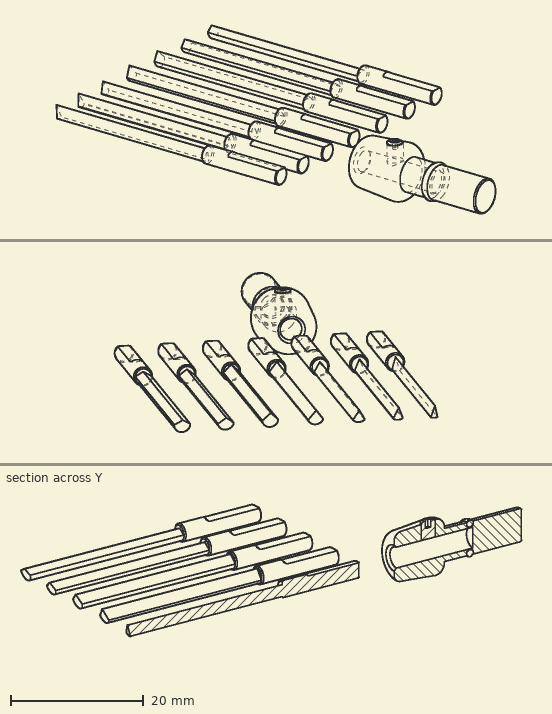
import cadquery as cq
import math


shank_radius = 1.45
shank_start = 28.35
shank_end = 42.4
shoulder_chamfer = 0.2
end_chamfer = 0.15
flat_start = 32.9
flat_depth = 0.35
tip_slant = 15.0
blade_radius = 1.2
file_axis_z = -0.3

file_sizes = [
    (27.2, 1.2, 0.8, 120),
    (20.5, 1.3, 0.8, 105),
    (13.65, 1.3, 1.15, 90),
    (6.65, 1.3, 1.15, 75),
    (0.0, 1.1, 0.8, 60),
    (-6.05, 0.7, 0.9, 45),
    (-11.6, 0.5, 0.9, 30),
]

head_start = 48.8
head_end = 58.1
holder_end = 72.15
nose_face_radius = 2.75
nose_fillet = 1.4
head_radius = 4.6
head_back_fillet = 1.7
stem_radius = 2.75
stem_chamfer = 0.2
bore_radius = 1.65
bore_mouth_chamfer = 0.4
bore_depth = 14.4

ring_x = 62.7
ring_section_radius = 0.6
ring_outer_radius = 3.0

screw_x = 55.05
screw_radius = 1.2
screw_top = 4.75
screw_top_radius = 0.8
screw_chamfer_height = 0.3
socket_width = 0.8
socket_depth = 1.2


def point_on_circle(x, y, radius, degrees):
    angle = math.radians(degrees)
    return (x + radius * math.cos(angle), y + radius * math.sin(angle))


def turned(profile):
    """Close a half outline that starts and ends on the X axis and turn it about that axis."""
    return profile.close().revolve(360, (0, 0), (1, 0))


def make_shank():
    flat_height = shank_radius - flat_depth
    shank = (
        cq.Workplane("YZ", origin=(shank_start, 0, 0))
        .circle(shank_radius)
        .extrude(shank_end - shank_start)
        .faces("<X").chamfer(shoulder_chamfer)
        .faces(">X").chamfer(end_chamfer)
    )
    flat_cut = (
        cq.Workplane("XZ")
        .moveTo(flat_start, shank_radius)
        .threePointArc(
            point_on_circle(flat_start + flat_depth, shank_radius, flat_depth, 225),
            (flat_start + flat_depth, flat_height),
        )
        .lineTo(shank_end, flat_height)
        .lineTo(shank_end, shank_radius)
        .close()
        .extrude(shank_radius, both=True)
    )
    return shank.cut(flat_cut)


def make_blade(half_width, ridge_height, ridge_angle):
    """A round bar trimmed to two side walls, two faces meeting at the ridge, and a slanted tip."""
    wall_top = ridge_height - half_width / math.tan(math.radians(ridge_angle / 2))
    ridge_prism = (
        cq.Workplane("YZ")
        .moveTo(-half_width, -blade_radius)
        .lineTo(-half_width, wall_top)
        .lineTo(0, ridge_height)
        .lineTo(half_width, wall_top)
        .lineTo(half_width, -blade_radius)
        .close()
        .extrude(shank_start)
    )
    tip_height = ridge_height + blade_radius
    tip_run = tip_height * math.tan(math.radians(tip_slant))
    tip_cut = (
        cq.Workplane("XZ")
        .moveTo(0, ridge_height)
        .lineTo(tip_run, -blade_radius)
        .lineTo(0, -blade_radius)
        .close()
        .extrude(blade_radius, both=True)
    )
    bar = cq.Workplane("YZ").circle(blade_radius).extrude(shank_start)
    return bar.intersect(ridge_prism).cut(tip_cut)


def make_file(axis_y, half_width, ridge_height, ridge_angle):
    blade = make_blade(half_width, ridge_height, ridge_angle)
    return make_shank().union(blade).translate((0, axis_y, file_axis_z))


def make_ring():
    section_centre = (ring_x, ring_outer_radius - ring_section_radius)
    return cq.Workplane("XY").add(
        cq.Solid.makeTorus(
            section_centre[1], ring_section_radius, cq.Vector(ring_x, 0, 0), cq.Vector(1, 0, 0)
        )
    )


def make_screw():
    screw = (
        cq.Workplane("XZ")
        .moveTo(0, bore_radius)
        .lineTo(screw_radius, bore_radius)
        .lineTo(screw_radius, screw_top - screw_chamfer_height)
        .lineTo(screw_top_radius, screw_top)
        .lineTo(0, screw_top)
        .close()
        .revolve(360, (0, 0), (0, 1))
        .translate((screw_x, 0, 0))
    )
    socket = (
        cq.Workplane("XY", origin=(screw_x, 0, screw_top - socket_depth))
        .polygon(6, socket_width / math.cos(math.radians(30)))
        .extrude(socket_depth)
    )
    return screw.cut(socket)


def make_holder():
    nose_end = head_start + nose_fillet
    back_start = head_end - head_back_fillet
    back_radius = head_radius - head_back_fillet
    body = turned(
        cq.Workplane("XY")
        .moveTo(head_start, 0)
        .lineTo(head_start, nose_face_radius)
        .threePointArc(
            point_on_circle(nose_end, nose_face_radius, nose_fillet, 135),
            (nose_end, nose_face_radius + nose_fillet),
        )
        .lineTo(back_start, head_radius)
        .threePointArc(
            point_on_circle(back_start, back_radius, head_back_fillet, 45),
            (head_end, back_radius),
        )
        .lineTo(head_end, stem_radius)
        .lineTo(holder_end - stem_chamfer, stem_radius)
        .lineTo(holder_end, stem_radius - stem_chamfer)
        .lineTo(holder_end, 0)
    )
    bore = turned(
        cq.Workplane("XY")
        .moveTo(head_start, 0)
        .lineTo(head_start, bore_radius + bore_mouth_chamfer)
        .lineTo(head_start + bore_mouth_chamfer, bore_radius)
        .lineTo(head_start + bore_depth, bore_radius)
        .lineTo(head_start + bore_depth, 0)
    )
    screw_hole = cq.Workplane("XY", origin=(screw_x, 0, 0)).circle(screw_radius).extrude(screw_top)
    return body.cut(bore).cut(screw_hole).cut(make_ring())


files = [make_file(*sizes) for sizes in file_sizes]
holder = make_holder()
screw = make_screw()
ring = make_ring()

result = cq.Compound.makeCompound([*[file.val() for file in files], holder.val(), screw.val(), ring.val()])